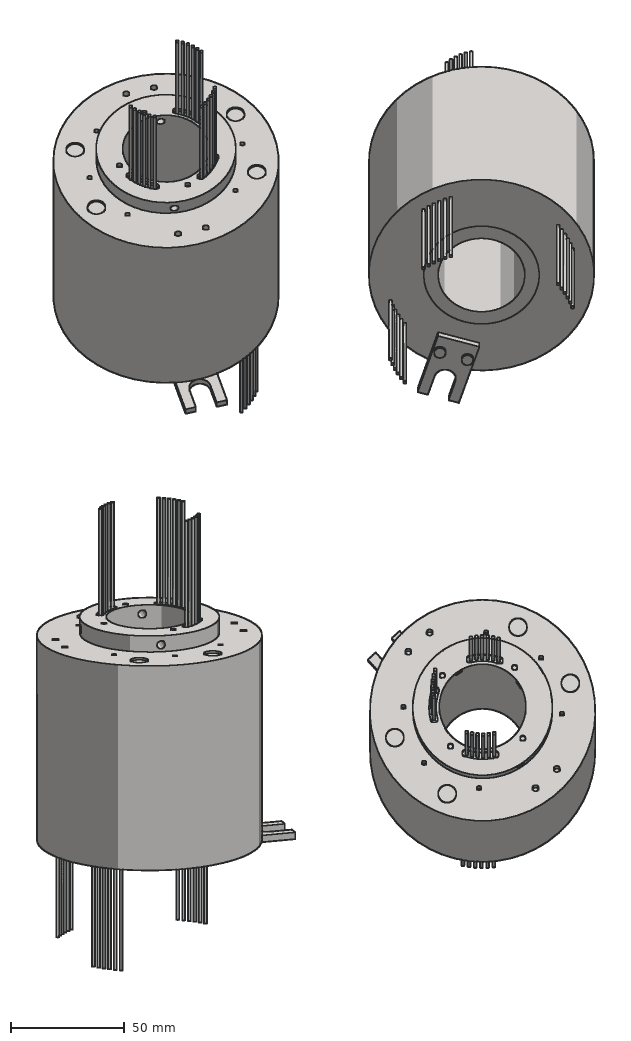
import cadquery as cq
import math

HOUSING_RADIUS = 49.5
HOUSING_HEIGHT = 93.5
SMALL_HOLE_RADIUS = 1.0
SMALL_HOLE_CIRCLE_RADIUS = 34.9
SMALL_HOLE_ANGLES = (45, 90, 135, 225, 270, 315)
SCREW_HOLE_RADIUS = 1.4
SCREW_X = 41.5
SCREW_Y = 6.3
HOLE_DEPTH = 6.0
SPOT_RECESS_RADIUS = 4.0
SPOT_RECESS_X = 17.0
SPOT_RECESS_Y = 36.6
SPOT_RECESS_DEPTH = 1.0

BRACKET_INNER_X = 33.9
BRACKET_OUTER_X = 64.4
BRACKET_WIDTH = 19.0
BRACKET_THICKNESS = 3.2
FORK_WIDTH = 9.5
FORK_START_X = HOUSING_RADIUS
SCREW_HEAD_RADIUS = 2.5
SCREW_HEAD_HEIGHT = 1.2

BORE_RADIUS = 19.0
SLEEVE_RADIUS = 25.4
NECK_HEIGHT = 1.0
FLANGE_RADIUS = 30.7
FLANGE_THICKNESS = 7.3
FLANGE_TOP = HOUSING_HEIGHT + NECK_HEIGHT + FLANGE_THICKNESS
FLANGE_HOLE_RADIUS = 1.2
FLANGE_HOLE_CIRCLE_RADIUS = 22.5
FLANGE_HOLE_DEPTH = 2.0
FLANGE_HOLE_ANGLES = (9, 99, 189, 279)
SET_SCREW_HOLE_RADIUS = 1.8
SET_SCREW_DROP = 4.2
SET_SCREW_ANGLES = (81, 171, 261, 351)

WIRE_RADIUS = 0.7
WIRE_LENGTH = 48.1
WIRES_PER_ROW = 6
ROTOR_ROW_RADIUS = 22.0
ROTOR_WIRE_STEP = 6.4
ROTOR_ROW_ANGLES = (45, 135, 315)
ROTOR_SLOT_WIDTH = 3.2
ROTOR_SLOT_HALF_SPAN = 17
ROTOR_SLOT_DEPTH = 2.0
STATOR_ROW_RADIUS = 42.2
STATOR_WIRE_STEP = 3.7
STATOR_ROW_ANGLES = (45, 135, 225)


def polar_points(radius, angles):
    """Points on a circle about the Z axis, at the given angles in degrees."""
    return [
        (radius * math.cos(math.radians(angle)), radius * math.sin(math.radians(angle)))
        for angle in angles
    ]


def wire_row(row_radius, mid_angle, step, base, length):
    """One row of wires from the height `base`; a negative length hangs them down."""
    first = mid_angle - step * (WIRES_PER_ROW - 1) / 2
    angles = [first + step * i for i in range(WIRES_PER_ROW)]
    points = polar_points(row_radius, angles)
    return cq.Workplane("XY", origin=(0, 0, base)).pushPoints(points).circle(WIRE_RADIUS).extrude(length)


def arc_slot(mid_angle):
    """Cutter for a round-ended slot that follows one row of rotor wires."""
    half_width = ROTOR_SLOT_WIDTH / 2
    span = [mid_angle - ROTOR_SLOT_HALF_SPAN, mid_angle, mid_angle + ROTOR_SLOT_HALF_SPAN]
    inner = polar_points(ROTOR_ROW_RADIUS - half_width, span)
    outer = polar_points(ROTOR_ROW_RADIUS + half_width, span)
    end_turn = math.degrees(half_width / ROTOR_ROW_RADIUS)
    start_tip, end_tip = polar_points(ROTOR_ROW_RADIUS, [span[0] - end_turn, span[2] + end_turn])
    return (
        cq.Workplane("XY", origin=(0, 0, FLANGE_TOP))
        .moveTo(*outer[0])
        .threePointArc(outer[1], outer[2])
        .threePointArc(end_tip, inner[2])
        .threePointArc(inner[1], inner[0])
        .threePointArc(start_tip, outer[0])
        .close()
        .extrude(-ROTOR_SLOT_DEPTH)
    )


def blind_holes(points, radius, depth, top):
    """Cutters for round holes sunk from the height `top`."""
    return cq.Workplane("XY", origin=(0, 0, top)).pushPoints(points).circle(radius).extrude(-depth)


def make_bracket():
    """Forked plate below the housing with its two screw heads."""
    length = BRACKET_OUTER_X - BRACKET_INNER_X
    plate = cq.Workplane("XY").box(length, BRACKET_WIDTH, BRACKET_THICKNESS, centered=(False, True, False))
    plate = plate.translate((BRACKET_INNER_X, 0, -BRACKET_THICKNESS))
    fork_radius = FORK_WIDTH / 2
    fork = (
        cq.Workplane("XY")
        .moveTo(BRACKET_OUTER_X, fork_radius)
        .lineTo(FORK_START_X + fork_radius, fork_radius)
        .threePointArc((FORK_START_X, 0), (FORK_START_X + fork_radius, -fork_radius))
        .lineTo(BRACKET_OUTER_X, -fork_radius)
        .close()
        .extrude(-BRACKET_THICKNESS)
    )
    heads = (
        cq.Workplane("XY", origin=(0, 0, -BRACKET_THICKNESS))
        .pushPoints([(SCREW_X, -SCREW_Y), (SCREW_X, SCREW_Y)])
        .circle(SCREW_HEAD_RADIUS)
        .extrude(-SCREW_HEAD_HEIGHT)
    )
    return plate.cut(fork).union(heads)


def make_stator():
    """Housing with its bracket and the wires that hang below it."""
    body = cq.Workplane("XY").circle(HOUSING_RADIUS).circle(SLEEVE_RADIUS).extrude(HOUSING_HEIGHT)

    small_points = polar_points(SMALL_HOLE_CIRCLE_RADIUS, SMALL_HOLE_ANGLES)
    screw_points = [(sx * SCREW_X, sy * SCREW_Y) for sx in (-1, 1) for sy in (-1, 1)]
    spot_points = [(sx * SPOT_RECESS_X, sy * SPOT_RECESS_Y) for sx in (-1, 1) for sy in (-1, 1)]
    body = body.cut(blind_holes(small_points, SMALL_HOLE_RADIUS, HOLE_DEPTH, HOUSING_HEIGHT))
    body = body.cut(blind_holes(screw_points, SCREW_HOLE_RADIUS, HOLE_DEPTH, HOUSING_HEIGHT))
    body = body.cut(blind_holes(spot_points, SPOT_RECESS_RADIUS, SPOT_RECESS_DEPTH, HOUSING_HEIGHT))

    body = body.union(make_bracket())
    for angle in STATOR_ROW_ANGLES:
        body = body.union(wire_row(STATOR_ROW_RADIUS, angle, STATOR_WIRE_STEP, 0, -WIRE_LENGTH))
    return body


def make_rotor():
    """Sleeve with its flange, and the wires that stand in slots on top."""
    sleeve = cq.Workplane("XY").circle(SLEEVE_RADIUS).extrude(FLANGE_TOP)
    flange = (
        cq.Workplane("XY", origin=(0, 0, FLANGE_TOP)).circle(FLANGE_RADIUS).extrude(-FLANGE_THICKNESS)
    )
    bore = cq.Workplane("XY").circle(BORE_RADIUS).extrude(FLANGE_TOP)
    body = sleeve.union(flange).cut(bore)

    flange_points = polar_points(FLANGE_HOLE_CIRCLE_RADIUS, FLANGE_HOLE_ANGLES)
    body = body.cut(blind_holes(flange_points, FLANGE_HOLE_RADIUS, FLANGE_HOLE_DEPTH, FLANGE_TOP))

    for x, y in polar_points(1, SET_SCREW_ANGLES):
        radial = cq.Plane(origin=(0, 0, FLANGE_TOP - SET_SCREW_DROP), xDir=(0, 0, 1), normal=(x, y, 0))
        body = body.cut(cq.Workplane(radial).circle(SET_SCREW_HOLE_RADIUS).extrude(FLANGE_RADIUS))

    slot_floor = FLANGE_TOP - ROTOR_SLOT_DEPTH
    wire_rise = ROTOR_SLOT_DEPTH + WIRE_LENGTH
    for angle in ROTOR_ROW_ANGLES:
        body = body.cut(arc_slot(angle))
        body = body.union(wire_row(ROTOR_ROW_RADIUS, angle, ROTOR_WIRE_STEP, slot_floor, wire_rise))
    return body


stator = make_stator()
rotor = make_rotor()

result = cq.Compound.makeCompound([stator.val(), rotor.val()])